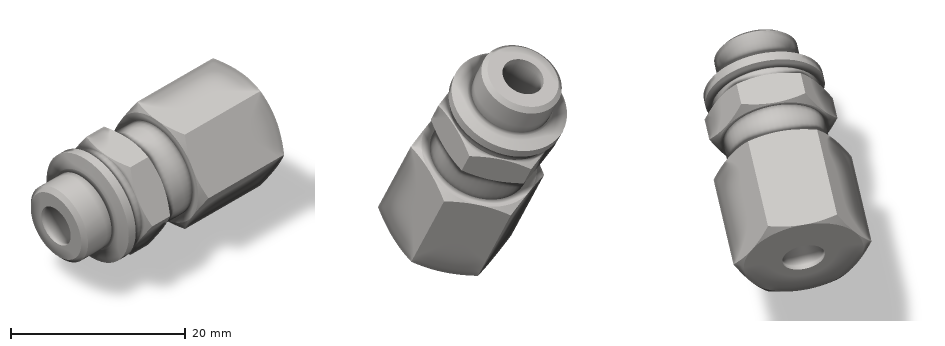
import cadquery as cq
import math

length = 28.7
bore_diameter = 5.0

thread_radius = 4.88
thread_tip_radius = 4.3
thread_chamfer = 0.52
thread_end = 4.15
neck_radius = 4.55
neck_end = 4.45

washer_radius = 7.0
washer_face_radius = 5.17
washer_bevel = 0.45
washer_rim = 1.1

collar_radius = 6.37
collar_chamfer = 0.23

body_hex_start = 7.46
body_hex_length = 4.08
body_hex_flats = 13.0
body_face_radius = 6.37
shank_radius = 6.0

nut_length = 13.0
nut_flats = 14.0
nut_face_radius = nut_flats / 2

corner_angle = 30.0

washer_rim_start = neck_end + washer_bevel
washer_rim_end = washer_rim_start + washer_rim
washer_end = washer_rim_end + washer_bevel
nut_start = length - nut_length


def turned(points):
    """Revolve a (radius, Y) outline about the Y axis."""
    return cq.Workplane("XY").polyline(points).close().revolve(360, (0, 0, 0), (0, 1, 0))


def hexagon(start, height, flats, face_radius):
    """Hexagon with corners on +X and -X, both ends trimmed by cones."""
    corner_radius = flats / math.sqrt(3)
    end = start + height
    drop = (corner_radius - face_radius) * math.tan(math.radians(corner_angle))
    prism = (
        cq.Workplane("XZ", origin=(0, start, 0))
        .polygon(6, 2 * corner_radius)
        .extrude(-height)
    )
    trim = turned([
        (0, start),
        (face_radius, start),
        (corner_radius, start + drop),
        (corner_radius, end - drop),
        (face_radius, end),
        (0, end),
    ])
    return prism.intersect(trim)


threaded_end = turned([
    (0, 0),
    (thread_tip_radius, 0),
    (thread_radius, thread_chamfer),
    (thread_radius, thread_end),
    (neck_radius, neck_end),
    (washer_face_radius, neck_end),
    (washer_radius, washer_rim_start),
    (washer_radius, washer_rim_end),
    (washer_face_radius, washer_end),
    (collar_radius - collar_chamfer, washer_end),
    (collar_radius, washer_end + collar_chamfer),
    (collar_radius, body_hex_start),
    (0, body_hex_start),
])

body_hex = hexagon(body_hex_start, body_hex_length, body_hex_flats, body_face_radius)

shank = cq.Workplane("XZ", origin=(0, body_hex_start, 0)).circle(shank_radius)
shank = shank.extrude(body_hex_start - nut_start)

nut = hexagon(nut_start, nut_length, nut_flats, nut_face_radius)

bore = cq.Workplane("XZ").circle(bore_diameter / 2).extrude(-length)

result = threaded_end.union(body_hex).union(shank).union(nut).cut(bore)